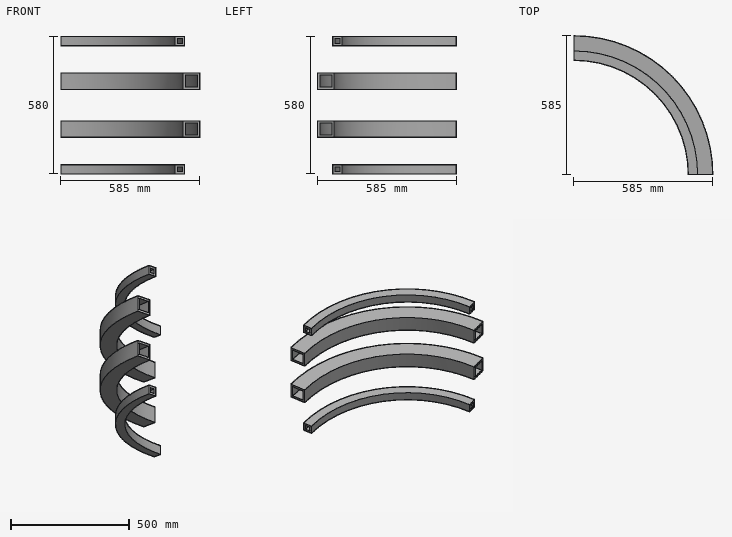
import cadquery as cq

LARGE_OUTER_RADIUS = 585.0
LARGE_SIDE = 70.0
LARGE_WALL = 10.0
SMALL_OUTER_RADIUS = 520.5
SMALL_SIDE = 40.0
SMALL_WALL = 10.0
LARGE_BASE_HEIGHTS = (154.0, 355.5)
SMALL_BASE_HEIGHTS = (0.0, 540.0)
BEND_ANGLE = 90.0


def quarter_ring(inner_radius, outer_radius, base, height):
    """Bend of rectangular section about the Z axis, from the +X axis to the +Y axis."""
    return (
        cq.Workplane("XZ")
        .moveTo(inner_radius, base)
        .lineTo(outer_radius, base)
        .lineTo(outer_radius, base + height)
        .lineTo(inner_radius, base + height)
        .close()
        .revolve(BEND_ANGLE, (0, 0, 0), (0, 1, 0))
    )


def bent_tube(outer_radius, side, wall, base):
    """Square tube bent through a quarter circle, open at both ends."""
    inner_radius = outer_radius - side
    body = quarter_ring(inner_radius, outer_radius, base, side)
    bore = quarter_ring(inner_radius + wall, outer_radius - wall, base + wall, side - 2 * wall)
    return body.cut(bore)


def large_tube(base):
    return bent_tube(LARGE_OUTER_RADIUS, LARGE_SIDE, LARGE_WALL, base)


def small_tube(base):
    return bent_tube(SMALL_OUTER_RADIUS, SMALL_SIDE, SMALL_WALL, base)


large_tubes = [large_tube(base).val() for base in LARGE_BASE_HEIGHTS]
small_tubes = [small_tube(base).val() for base in SMALL_BASE_HEIGHTS]

result = cq.Compound.makeCompound([*large_tubes, *small_tubes])